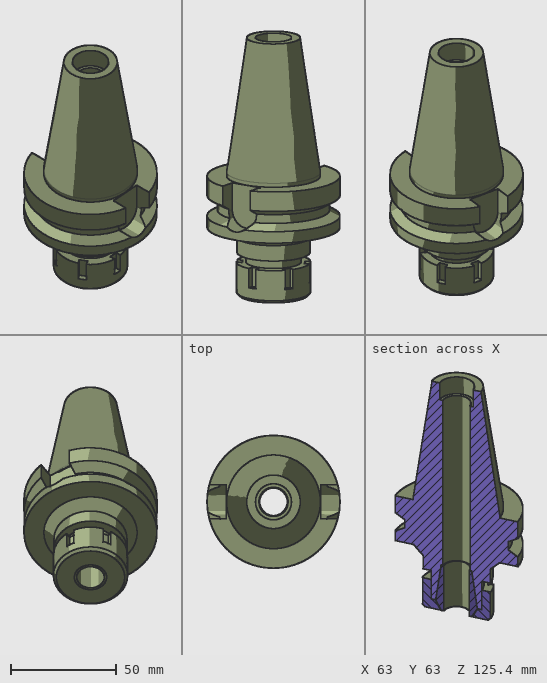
import cadquery as cq
import math


overall_height = 125.4
gauge_height = 60.0
shank_small_radius = 12.7
shank_large_radius = 22.2
flange_radius = 31.5
flange_top = 57.9
flange_bottom = 33.0

groove_floor_radius = 26.6
groove_centre_depth = 14.4
groove_floor_width = 4.3
groove_flank_angle = 30.0

drive_slot_count = 2
drive_slot_width = 16.0
drive_slot_depth = 21.0
drive_slot_floor = 22.5

collar_radius = 17.3
collar_cone_height = 4.8
collar_bottom = 20.7
neck_radius = 13.0

top_bore_radius = 8.5
top_bore_depth = 9.3
through_bore_radius = 6.9

nut_radius = 17.5
nut_height = 16.0
nut_chamfer = 1.4
wrench_slot_count = 6
wrench_slot_width = 4.0
wrench_slot_height = 9.4
wrench_slot_floor = 14.8

collet_bore_radius = 6.5
collet_max_radius = 10.5
collet_seat_height = 5.0
collet_top = 25.1
collet_taper_angle = 8.0
collet_front_angle = 30.0

groove_centre = flange_top - groove_centre_depth
groove_depth = flange_radius - groove_floor_radius
groove_flank_height = groove_depth * math.tan(math.radians(groove_flank_angle))
groove_floor_top = groove_centre + groove_floor_width / 2
groove_floor_bottom = groove_centre - groove_floor_width / 2
collet_taper_height = collet_top - collet_seat_height
collet_top_radius = collet_max_radius - collet_taper_height * math.tan(math.radians(collet_taper_angle))
collet_front_radius = collet_max_radius - collet_seat_height * math.tan(math.radians(collet_front_angle))


def revolved(profile):
    """Turn a closed (radius, height) outline around the Z axis."""
    return cq.Workplane("YZ").polyline(profile).close().revolve(360, (0, 0, 0), (0, 1, 0))


def cut_around(body, cutter, count):
    """Cut evenly spaced copies of a cutter around the Z axis."""
    for index in range(count):
        body = body.cut(cutter.rotate((0, 0, 0), (0, 0, 1), index * 360 / count))
    return body


def drive_slot():
    """Cutter for the drive slot on the +X side, rounded at its lower end."""
    radius = drive_slot_width / 2
    arc_height = flange_top - drive_slot_depth + radius
    return (
        cq.Workplane("YZ", origin=(drive_slot_floor, 0, 0))
        .moveTo(-radius, flange_top)
        .lineTo(-radius, arc_height)
        .threePointArc((0, arc_height - radius), (radius, arc_height))
        .lineTo(radius, flange_top)
        .close()
        .extrude(flange_radius - drive_slot_floor)
    )


def make_holder():
    """Tapered shank, grooved flange, collar and neck, bored through."""
    holder = revolved([
        (through_bore_radius, collet_top),
        (collet_top_radius, collet_top),
        (collet_max_radius, collet_seat_height),
        (neck_radius, collet_seat_height),
        (neck_radius, collar_bottom),
        (collar_radius, collar_bottom),
        (collar_radius, flange_bottom - collar_cone_height),
        (collar_radius + collar_cone_height, flange_bottom),
        (flange_radius, flange_bottom),
        (flange_radius, groove_floor_bottom - groove_flank_height),
        (groove_floor_radius, groove_floor_bottom),
        (groove_floor_radius, groove_floor_top),
        (flange_radius, groove_floor_top + groove_flank_height),
        (flange_radius, flange_top),
        (shank_large_radius, flange_top),
        (shank_large_radius, gauge_height),
        (shank_small_radius, overall_height),
        (top_bore_radius, overall_height),
        (top_bore_radius, overall_height - top_bore_depth),
        (through_bore_radius, overall_height - top_bore_depth),
    ])
    return cut_around(holder, drive_slot(), drive_slot_count)


def wrench_slot():
    """Cutter for the nut's wrench slot on the +X side, open at the top."""
    floor_height = nut_height - wrench_slot_height
    return cq.Workplane("XY", origin=(wrench_slot_floor, 0, floor_height)).box(
        nut_radius - wrench_slot_floor,
        wrench_slot_width,
        wrench_slot_height,
        centered=(False, True, False),
    )


def make_nut():
    """Slotted clamping nut around the holder's neck and the collet's front cone."""
    nut = revolved([
        (collet_front_radius, 0),
        (nut_radius - nut_chamfer, 0),
        (nut_radius, nut_chamfer),
        (nut_radius, nut_height),
        (neck_radius, nut_height),
        (neck_radius, collet_seat_height),
        (collet_max_radius, collet_seat_height),
    ])
    return cut_around(nut, wrench_slot(), wrench_slot_count)


def make_collet():
    """Double-cone collet sleeve with a straight bore."""
    return revolved([
        (collet_bore_radius, 0),
        (collet_front_radius, 0),
        (collet_max_radius, collet_seat_height),
        (collet_top_radius, collet_top),
        (collet_bore_radius, collet_top),
    ])


holder = make_holder()
nut = make_nut()
collet = make_collet()

result = cq.Compound.makeCompound([holder.val(), nut.val(), collet.val()])